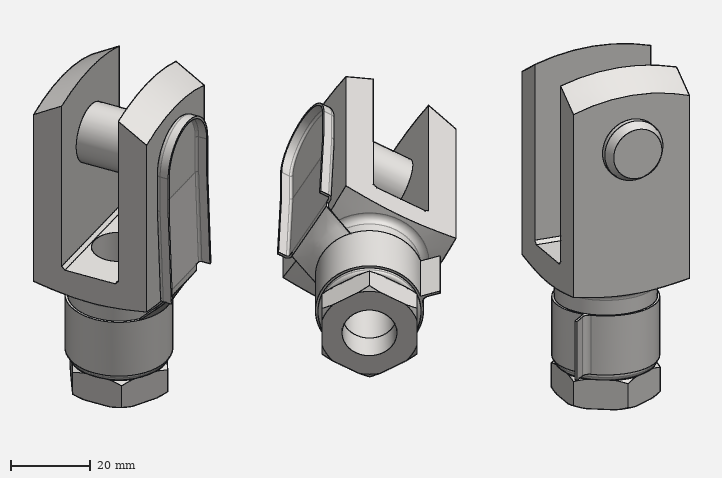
import cadquery as cq
import math

BLOCK_WIDTH = 32.0
HALF_BLOCK = BLOCK_WIDTH / 2
FORK_TOP = 91.0
SLOT_WIDTH = 16.0
SLOT_FLOOR = 39.95
SLOT_CHAMFER = 0.9
BLOCK_BOTTOM = 32.0
BOTTOM_FLAT_RADIUS = 15.0
BOTTOM_CONE_ANGLE = 15.0
CROWN_CENTRE = 36.4
CROWN_ANGLE = 30.0
NECK_RADIUS = 13.0
NECK_EDGE_FILLET = 1.1
NECK_ROOT_FILLET = BOTTOM_FLAT_RADIUS - NECK_RADIUS
BORE_DIAMETER = 13.8

NUT_HEIGHT = 8.0
NUT_ACROSS_FLATS = 24.0
NUT_FACE_RADIUS = 12.6
NUT_CHAMFER_ANGLE = 30.0

PIN_RADIUS = 8.0
PIN_HEIGHT = 71.9
PIN_END = -19.9
PIN_CHAMFER_LENGTH = 2.5
PIN_CHAMFER_DEPTH = 1.4

SHEET = 0.6
HEAD_RADIUS = 11.0
RIM_DEPTH = 3.55
BEND_RADIUS = 1.3
CHANNEL_BEND_HEIGHT = 61.5
CHANNEL_BOTTOM = 34.9
CHANNEL_TILT = 0.9
STRAP_KNEE_HEIGHT = 33.1
STRAP_HALF_WIDTH = 8.7
SLEEVE_BOTTOM = 10.0
SLEEVE_HEIGHT = 16.0
SLEEVE_TOP = SLEEVE_BOTTOM + SLEEVE_HEIGHT
SLEEVE_RADIUS = NECK_RADIUS + SHEET
TAB_ANGLE = 132.5
TAB_TIP_RADIUS = 18.75
TAB_BEND_RADIUS = 1.8


def make_crown():
    """Double cone about a crosswise axis that bevels and rounds the tops of the legs."""
    slope = math.tan(math.radians(CROWN_ANGLE))
    inner_radius = FORK_TOP - CROWN_CENTRE
    outer_radius = inner_radius - (HALF_BLOCK - SLOT_WIDTH / 2) * slope
    profile = [
        (-HALF_BLOCK, 0),
        (-HALF_BLOCK, outer_radius),
        (-SLOT_WIDTH / 2, inner_radius),
        (SLOT_WIDTH / 2, inner_radius),
        (HALF_BLOCK, outer_radius),
        (HALF_BLOCK, 0),
    ]
    crown = cq.Workplane("XZ").polyline(profile).close().revolve(360, (0, 0, 0), (1, 0, 0))
    return crown.translate((0, 0, CROWN_CENTRE))


def make_turned_envelope():
    """Neck, root fillet and conical underside of the block, turned about Z."""
    outer_radius = BLOCK_WIDTH
    cone_rise = (outer_radius - BOTTOM_FLAT_RADIUS) * math.tan(math.radians(BOTTOM_CONE_ANGLE))
    root_bottom = BLOCK_BOTTOM - NECK_ROOT_FILLET
    diagonal = NECK_ROOT_FILLET * (1 - math.sqrt(0.5))
    edge_diagonal = NECK_EDGE_FILLET * (1 - math.sqrt(0.5))
    return (
        cq.Workplane("XZ")
        .moveTo(0, NUT_HEIGHT)
        .lineTo(NECK_RADIUS - NECK_EDGE_FILLET, NUT_HEIGHT)
        .threePointArc(
            (NECK_RADIUS - edge_diagonal, NUT_HEIGHT + edge_diagonal),
            (NECK_RADIUS, NUT_HEIGHT + NECK_EDGE_FILLET),
        )
        .lineTo(NECK_RADIUS, root_bottom)
        .threePointArc(
            (NECK_RADIUS + diagonal, BLOCK_BOTTOM - diagonal),
            (BOTTOM_FLAT_RADIUS, BLOCK_BOTTOM),
        )
        .lineTo(outer_radius, BLOCK_BOTTOM + cone_rise)
        .lineTo(outer_radius, FORK_TOP)
        .lineTo(0, FORK_TOP)
        .close()
        .revolve(360, (0, 0, 0), (0, 1, 0))
    )


def make_fork():
    base = cq.Workplane("XY").rect(BLOCK_WIDTH, BLOCK_WIDTH).extrude(CROWN_CENTRE)
    block = cq.Workplane("XY").rect(BLOCK_WIDTH, BLOCK_WIDTH).extrude(FORK_TOP)
    legs = block.intersect(make_crown()).union(base)
    slot = (
        cq.Workplane("XY", origin=(0, 0, SLOT_FLOOR))
        .rect(SLOT_WIDTH, BLOCK_WIDTH)
        .extrude(FORK_TOP - SLOT_FLOOR)
        .edges("|Y and <Z")
        .chamfer(SLOT_CHAMFER)
    )
    bore = cq.Workplane("XY").circle(BORE_DIAMETER / 2).extrude(SLOT_FLOOR)
    pin_hole = (
        cq.Workplane("YZ", origin=(-HALF_BLOCK, 0, PIN_HEIGHT))
        .circle(PIN_RADIUS)
        .extrude(BLOCK_WIDTH)
    )
    return legs.intersect(make_turned_envelope()).cut(slot).cut(bore).cut(pin_hole)


def make_nut():
    corner_radius = NUT_ACROSS_FLATS / math.sqrt(3)
    chamfer_height = (corner_radius - NUT_FACE_RADIUS) * math.tan(math.radians(NUT_CHAMFER_ANGLE))
    hexagon = cq.Workplane("XY").polygon(6, 2 * corner_radius).extrude(NUT_HEIGHT)
    chamfer_profile = [
        (0, 0),
        (NUT_FACE_RADIUS, 0),
        (corner_radius, chamfer_height),
        (corner_radius, NUT_HEIGHT - chamfer_height),
        (NUT_FACE_RADIUS, NUT_HEIGHT),
        (0, NUT_HEIGHT),
    ]
    envelope = cq.Workplane("XZ").polyline(chamfer_profile).close().revolve(360, (0, 0, 0), (0, 1, 0))
    bore = cq.Workplane("XY").circle(BORE_DIAMETER / 2).extrude(NUT_HEIGHT)
    return hexagon.intersect(envelope).cut(bore)


def make_pin():
    """Plain pin ending flush with the outer face of the fork, chamfered at its free end."""
    profile = [
        (PIN_END, 0),
        (PIN_END, PIN_RADIUS - PIN_CHAMFER_DEPTH),
        (PIN_END + PIN_CHAMFER_LENGTH, PIN_RADIUS),
        (HALF_BLOCK, PIN_RADIUS),
        (HALF_BLOCK, 0),
    ]
    pin = cq.Workplane("XZ").polyline(profile).close().revolve(360, (0, 0, 0), (1, 0, 0))
    return pin.translate((0, 0, PIN_HEIGHT))


def draw_channel_section(plane, shift):
    """U section in X and Y, open towards +X, with rounded bends; shift moves it along X."""
    back = HALF_BLOCK + shift
    front = back + RIM_DEPTH
    inner_back = back + SHEET
    inner_half = HEAD_RADIUS - SHEET
    inner_bend = BEND_RADIUS - SHEET
    outer_mid = BEND_RADIUS * (1 - math.sqrt(0.5))
    inner_mid = inner_bend * (1 - math.sqrt(0.5))
    return (
        plane.moveTo(front, HEAD_RADIUS)
        .lineTo(back + BEND_RADIUS, HEAD_RADIUS)
        .threePointArc((back + outer_mid, HEAD_RADIUS - outer_mid), (back, HEAD_RADIUS - BEND_RADIUS))
        .lineTo(back, BEND_RADIUS - HEAD_RADIUS)
        .threePointArc((back + outer_mid, outer_mid - HEAD_RADIUS), (back + BEND_RADIUS, -HEAD_RADIUS))
        .lineTo(front, -HEAD_RADIUS)
        .lineTo(front, -inner_half)
        .lineTo(inner_back + inner_bend, -inner_half)
        .threePointArc((inner_back + inner_mid, inner_mid - inner_half), (inner_back, inner_bend - inner_half))
        .lineTo(inner_back, inner_half - inner_bend)
        .threePointArc((inner_back + inner_mid, inner_half - inner_mid), (inner_back + inner_bend, inner_half))
        .lineTo(front, inner_half)
        .close()
    )


def make_clip_head():
    """Half-round rimmed cup above the pin axis, then the straight channel below it."""
    section = cq.Workplane("XY", origin=(0, 0, PIN_HEIGHT))
    straight = draw_channel_section(section, 0).extrude(CHANNEL_BEND_HEIGHT - PIN_HEIGHT)
    cup_blank = (
        cq.Workplane("YZ", origin=(HALF_BLOCK, 0, PIN_HEIGHT))
        .circle(HEAD_RADIUS)
        .extrude(RIM_DEPTH)
        .faces("<X")
        .edges()
        .fillet(BEND_RADIUS)
    )
    recess = (
        cq.Workplane("YZ", origin=(HALF_BLOCK + SHEET, 0, PIN_HEIGHT))
        .circle(HEAD_RADIUS - SHEET)
        .extrude(RIM_DEPTH)
        .faces("<X")
        .edges()
        .fillet(BEND_RADIUS - SHEET)
    )
    upper_half = (
        cq.Workplane("XY", origin=(0, 0, PIN_HEIGHT))
        .rect(2 * BLOCK_WIDTH, BLOCK_WIDTH)
        .extrude(HEAD_RADIUS)
    )
    return cup_blank.cut(recess).intersect(upper_half).union(straight)


def make_tilted_channel():
    upper = draw_channel_section(cq.Workplane("XY", origin=(0, 0, CHANNEL_BEND_HEIGHT)), 0)
    drop = CHANNEL_BOTTOM - CHANNEL_BEND_HEIGHT
    return draw_channel_section(upper.workplane(offset=drop), CHANNEL_TILT).loft(ruled=True)


def make_strap():
    """Flat strip below the channel, then a slanting strip that curves to meet the sleeve."""
    back = HALF_BLOCK + CHANNEL_TILT
    front = back + SHEET
    flat = (
        cq.Workplane("XY", origin=(0, 0, STRAP_KNEE_HEIGHT))
        .center(back + SHEET / 2, 0)
        .rect(SHEET, 2 * STRAP_HALF_WIDTH)
        .extrude(CHANNEL_BOTTOM - STRAP_KNEE_HEIGHT)
    )
    half_angle = math.asin(STRAP_HALF_WIDTH / SLEEVE_RADIUS)
    outer_x = SLEEVE_RADIUS * math.cos(half_angle)
    inner_x = NECK_RADIUS * math.cos(half_angle)
    inner_y = NECK_RADIUS * math.sin(half_angle)
    slanting = (
        cq.Workplane("XY", origin=(0, 0, SLEEVE_TOP))
        .moveTo(outer_x, -STRAP_HALF_WIDTH)
        .threePointArc((SLEEVE_RADIUS, 0), (outer_x, STRAP_HALF_WIDTH))
        .lineTo(inner_x, inner_y)
        .threePointArc((NECK_RADIUS, 0), (inner_x, -inner_y))
        .close()
        .workplane(offset=STRAP_KNEE_HEIGHT - SLEEVE_TOP)
        .moveTo(front, -STRAP_HALF_WIDTH)
        .lineTo(front, STRAP_HALF_WIDTH)
        .lineTo(back, STRAP_HALF_WIDTH)
        .lineTo(back, -STRAP_HALF_WIDTH)
        .close()
        .loft(ruled=True)
    )
    return flat.union(slanting)


def make_sleeve():
    """Ring around the neck with a radial tab that leaves it through a rounded bend."""
    base = cq.Workplane("XY", origin=(0, 0, SLEEVE_BOTTOM))
    ring = base.circle(SLEEVE_RADIUS).circle(NECK_RADIUS).extrude(SLEEVE_HEIGHT)

    half_sheet = SHEET / 2
    bend_y = half_sheet + TAB_BEND_RADIUS
    bend_reach = SLEEVE_RADIUS + TAB_BEND_RADIUS
    bend_x = math.sqrt(bend_reach**2 - bend_y**2)
    ring_touch = (bend_x * SLEEVE_RADIUS / bend_reach, bend_y * SLEEVE_RADIUS / bend_reach)
    mid_angle = (math.atan2(bend_y, bend_x) + math.pi + 1.5 * math.pi) / 2
    bend_mid = (
        bend_x + TAB_BEND_RADIUS * math.cos(mid_angle),
        bend_y + TAB_BEND_RADIUS * math.sin(mid_angle),
    )
    root_x = NECK_RADIUS + half_sheet
    tab = (
        base.moveTo(root_x, -half_sheet)
        .lineTo(TAB_TIP_RADIUS, -half_sheet)
        .lineTo(TAB_TIP_RADIUS, half_sheet)
        .lineTo(bend_x, half_sheet)
        .threePointArc(bend_mid, ring_touch)
        .close()
        .extrude(SLEEVE_HEIGHT)
        .rotate((0, 0, 0), (0, 0, 1), TAB_ANGLE)
    )
    return ring.union(tab)


def make_pin_clip():
    """Pin and spring clip as one piece."""
    clip = make_clip_head().union(make_tilted_channel()).union(make_strap()).union(make_sleeve())
    return clip.union(make_pin())


fork = make_fork()
nut = make_nut()
pin_clip = make_pin_clip()
result = cq.Compound.makeCompound(
    [fork.solids().val(), nut.solids().val(), pin_clip.solids().val()]
)